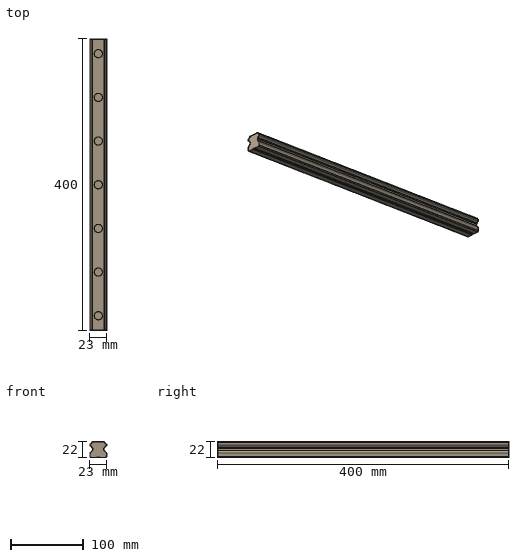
import cadquery as cq
import math

LENGTH = 400.0
WIDTH = 23.0
HEIGHT = 22.0

TOP_WIDTH = 16.0
TOP_BEVEL = 1.0
HEAD_SIDE_TOP = 19.0
HEAD_SIDE_BOTTOM = 16.5
HEAD_CORNER_RADIUS = 0.7
RACE_RADIUS = 3.0

NECK_WIDTH = 15.5
NECK_TOP = 13.0
LOWER_RACE_END = 14.0
BASE_SIDE_TOP = 6.5
BASE_CHAMFER = 1.4
BASE_CORNER_RADIUS = 1.5

RELIEF_WIDTH = 3.5
RELIEF_DEPTH = 0.6

HOLE_COUNT = 7
HOLE_PITCH = 60.0
CAP_DIAMETER = 11.0
CAP_RECESS = 0.2

HALF_WIDTH = WIDTH / 2
HALF_NECK = NECK_WIDTH / 2
HALF_TOP = TOP_WIDTH / 2
HALF_BEVELLED = HALF_TOP + TOP_BEVEL
BEVEL_BOTTOM = HEIGHT - TOP_BEVEL
NECK_BOTTOM = BASE_SIDE_TOP + HALF_WIDTH - HALF_NECK
HALF_LOWER_RACE_END = HALF_NECK + LOWER_RACE_END - NECK_TOP


def race_midpoint(start, end):
    """Middle of a race arc of RACE_RADIUS that bows towards the rail's centre plane.

    The arc lies on the +X side and is drawn upwards, from start to end.
    """
    run_x = end[0] - start[0]
    run_z = end[1] - start[1]
    chord = math.hypot(run_x, run_z)
    bow = RACE_RADIUS - math.sqrt(RACE_RADIUS**2 - (chord / 2) ** 2)
    middle_x = (start[0] + end[0]) / 2 - bow * run_z / chord
    middle_z = (start[1] + end[1]) / 2 + bow * run_x / chord
    return (middle_x, middle_z)


def make_half_rail():
    """Extrude the +X half of the waisted section and round its side corners."""
    lower_race_start = (HALF_LOWER_RACE_END, LOWER_RACE_END)
    lower_race_end = (HALF_WIDTH, HEAD_SIDE_BOTTOM)
    upper_race_start = (HALF_WIDTH, HEAD_SIDE_TOP)
    upper_race_end = (HALF_BEVELLED, BEVEL_BOTTOM)
    half = (
        cq.Workplane("XZ")
        .lineTo(HALF_WIDTH - BASE_CHAMFER, 0)
        .lineTo(HALF_WIDTH, BASE_CHAMFER)
        .lineTo(HALF_WIDTH, BASE_SIDE_TOP)
        .lineTo(HALF_NECK, NECK_BOTTOM)
        .lineTo(HALF_NECK, NECK_TOP)
        .lineTo(*lower_race_start)
        .threePointArc(race_midpoint(lower_race_start, lower_race_end), lower_race_end)
        .lineTo(*upper_race_start)
        .threePointArc(race_midpoint(upper_race_start, upper_race_end), upper_race_end)
        .lineTo(HALF_TOP, HEIGHT)
        .lineTo(0, HEIGHT)
        .close()
        .extrude(LENGTH / 2, both=True)
    )
    half = round_side_edge(half, BASE_SIDE_TOP, BASE_CORNER_RADIUS)
    half = round_side_edge(half, HEAD_SIDE_BOTTOM, HEAD_CORNER_RADIUS)
    return round_side_edge(half, HEAD_SIDE_TOP, HEAD_CORNER_RADIUS)


def round_side_edge(half, height, radius):
    """Fillet the long edge at the given height on the outermost side."""
    nearest = cq.NearestToPointSelector((HALF_WIDTH, 0, height))
    return half.edges("|Y").edges(nearest).fillet(radius)


def make_relief():
    """Shallow groove that runs the full length of the underside."""
    return cq.Workplane("XY").box(RELIEF_WIDTH, LENGTH, RELIEF_DEPTH, centered=(True, True, False))


def make_cap_recesses():
    """Shallow round recesses above the hole caps, evenly spaced about the middle."""
    return (
        cq.Workplane("XY", origin=(0, 0, HEIGHT))
        .rarray(4, HOLE_PITCH, 1, HOLE_COUNT)
        .circle(CAP_DIAMETER / 2)
        .extrude(-CAP_RECESS)
    )


half_rail = make_half_rail()
rail = half_rail.union(half_rail.mirror("YZ")).clean()
result = rail.cut(make_relief()).cut(make_cap_recesses())